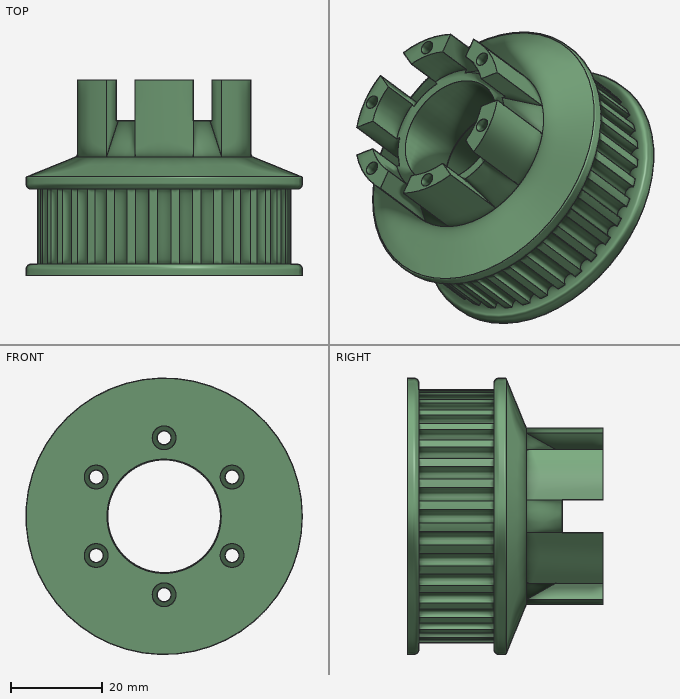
import cadquery as cq
import math

flange_diameter = 60.46
flange_radius = flange_diameter / 2
flange_edge_round = 1.2

front_flange_thickness = 2.55
toothed_width = 16.35
pulley_length = front_flange_thickness + toothed_width
tooth_tip_diameter = 55.5
tooth_tip_radius = tooth_tip_diameter / 2
tooth_count = 36
groove_width = 2.9
groove_depth = 1.85
groove_wall_depth = 0.68
pulley_bore_diameter = 25.0

rear_flange_thickness = 2.8
rear_flange_back_round = 0.4
hub_bore_diameter = 24.64
claw_outer_diameter = 38.61
claw_outer_radius = claw_outer_diameter / 2
claw_inner_radius = 15.07
claw_count = 6
claw_gap = 7.14
collar_end_radius = 14.3
cone_base_radius = flange_radius - rear_flange_back_round
cone_base_y = pulley_length + rear_flange_thickness
cone_end_y = 26.0
collar_end_y = 33.9
total_length = 42.81

screw_circle_radius = 17.15
pulley_screw_diameter = 5.2
hub_screw_diameter = 3.0


def cylinder(diameter, start_y, end_y):
    """Solid cylinder on the main axis between two Y positions."""
    plane = cq.Workplane("XZ", origin=(0, start_y, 0))
    return plane.circle(diameter / 2).extrude(start_y - end_y)


def screw_holes(diameter, start_y, end_y):
    """Cutters for the ring of screw holes, the first one straight up."""
    plane = cq.Workplane("XZ", origin=(0, start_y, 0))
    centers = plane.polarArray(screw_circle_radius, 90, 360, claw_count)
    return centers.circle(diameter / 2).extrude(start_y - end_y)


def belt_groove():
    """Cutter for one groove: short parallel walls and an arc floor, centred on +X."""
    half_width = groove_width / 2
    wall_end_x = tooth_tip_radius - groove_wall_depth
    return (
        cq.Workplane("XZ", origin=(0, front_flange_thickness, 0))
        .moveTo(flange_radius, -half_width)
        .lineTo(wall_end_x, -half_width)
        .threePointArc((tooth_tip_radius - groove_depth, 0), (wall_end_x, half_width))
        .lineTo(flange_radius, half_width)
        .close()
        .extrude(-toothed_width)
    )


def make_pulley():
    """Front flange and toothed rim, with the bore and the screw holes."""
    rim = cylinder(tooth_tip_diameter, front_flange_thickness, pulley_length)
    groove = belt_groove()
    for index in range(tooth_count):
        rim = rim.cut(groove.rotate((0, 0, 0), (0, 1, 0), index * 360 / tooth_count))
    flange = cylinder(flange_diameter, 0, front_flange_thickness).edges(">Y").fillet(flange_edge_round)
    body = flange.union(rim)
    body = body.cut(cylinder(pulley_bore_diameter, 0, pulley_length))
    return body.cut(screw_holes(pulley_screw_diameter, 0, pulley_length))


def hub_core():
    """Rear flange, cone and tapered collar, turned about the main axis."""
    arc_middle = math.sqrt(0.5)
    front_arc_y = pulley_length + flange_edge_round
    front_arc_x = flange_radius - flange_edge_round
    back_arc_y = cone_base_y - rear_flange_back_round
    return (
        cq.Workplane("XY")
        .moveTo(0, pulley_length)
        .lineTo(front_arc_x, pulley_length)
        .threePointArc(
            (front_arc_x + flange_edge_round * arc_middle, front_arc_y - flange_edge_round * arc_middle),
            (flange_radius, front_arc_y),
        )
        .lineTo(flange_radius, back_arc_y)
        .threePointArc(
            (
                cone_base_radius + rear_flange_back_round * arc_middle,
                back_arc_y + rear_flange_back_round * arc_middle,
            ),
            (cone_base_radius, cone_base_y),
        )
        .lineTo(claw_outer_radius, cone_end_y)
        .lineTo(collar_end_radius, collar_end_y)
        .lineTo(0, collar_end_y)
        .close()
        .revolve(360, (0, 0, 0), (0, 1, 0))
    )


def claws():
    """Ring of claws: a tube split by parallel-sided gaps, the first gap along +X."""
    tube = cylinder(claw_outer_diameter, cone_end_y, total_length)
    tube = tube.cut(cylinder(2 * claw_inner_radius, collar_end_y, total_length))
    claw_length = total_length - cone_end_y
    gap = cq.Workplane("XY", origin=(0, cone_end_y, 0)).box(
        flange_radius, claw_length, claw_gap, centered=(False, False, True)
    )
    for index in range(claw_count):
        tube = tube.cut(gap.rotate((0, 0, 0), (0, 1, 0), index * 360 / claw_count))
    return tube


def make_hub():
    """Rear flange and cone carrying the claws, with the bore and the screw holes."""
    body = hub_core().union(claws())
    body = body.cut(cylinder(hub_bore_diameter, pulley_length, total_length))
    return body.cut(screw_holes(hub_screw_diameter, pulley_length, total_length))


pulley = make_pulley()
hub = make_hub()
result = cq.Compound.makeCompound([pulley.val(), hub.val()])